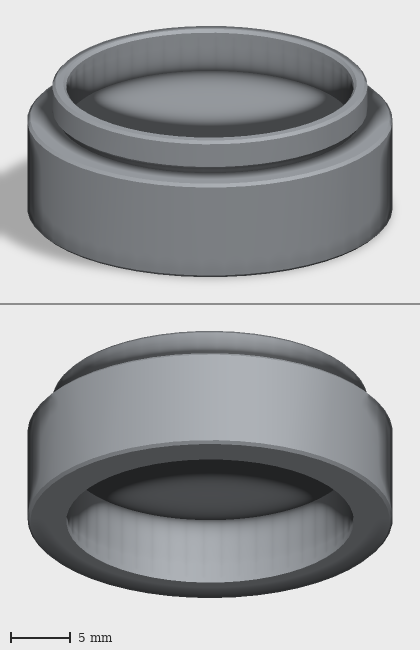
import cadquery as cq

body_diameter = 30.48
total_height = 11.43
shoulder_height = 8.38
rim_diameter = 26.3
rim_base_height = 8.9
groove_diameter = 25.2
bore_diameter = 24.0
chamfer = 0.25

filter_depth = 3.65
filter_thickness = 2.0


def make_body():
    """Wide lower cylinder, chamfered at both ends."""
    return cq.Workplane("XY").circle(body_diameter / 2).extrude(shoulder_height).edges().chamfer(chamfer)


def make_neck():
    """Narrow neck that forms the relief groove between shoulder and rim."""
    neck_height = rim_base_height - shoulder_height
    neck = cq.Workplane("XY").workplane(offset=shoulder_height)
    return neck.circle(groove_diameter / 2).extrude(neck_height)


def make_rim():
    """Upper rim, chamfered at both ends."""
    rim = cq.Workplane("XY").workplane(offset=rim_base_height)
    return rim.circle(rim_diameter / 2).extrude(total_height - rim_base_height).edges().chamfer(chamfer)


def make_housing():
    """Housing with a through bore, chamfered at its upper mouth."""
    solid = make_body().union(make_neck()).union(make_rim())
    bored = solid.faces(">Z").workplane().hole(bore_diameter)
    bore_mouth = cq.selectors.RadiusNthSelector(0)
    return bored.faces(">Z").edges(bore_mouth).chamfer(chamfer)


def make_filter():
    """Flat disc that fills the bore across its full diameter."""
    filter_base = total_height - filter_depth - filter_thickness
    return cq.Workplane("XY").workplane(offset=filter_base).circle(bore_diameter / 2).extrude(filter_thickness)


housing = make_housing()
filter_plate = make_filter()

result = cq.Compound.makeCompound([housing.val(), filter_plate.val()])